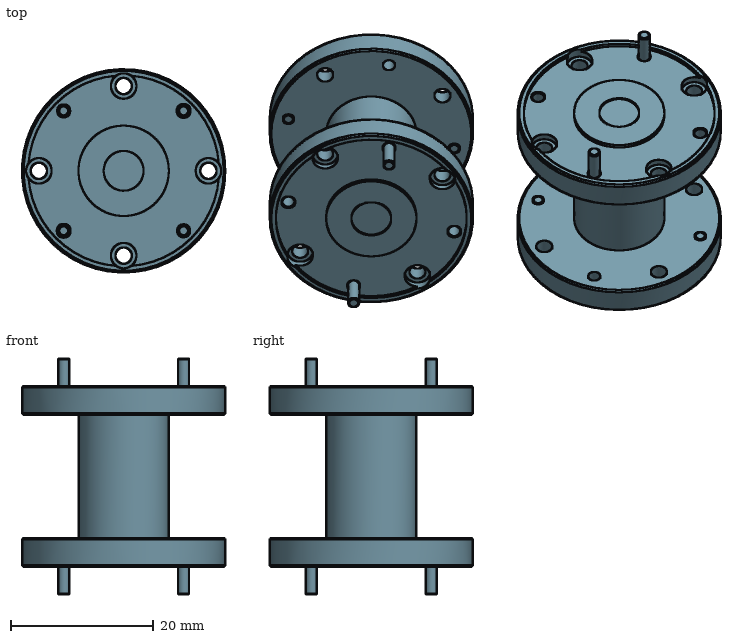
import cadquery as cq
import math

spool_length = 25.4
flange_diameter = 28.57
flange_thickness = 4.0625
flange_chamfer = 0.25
tube_diameter = 12.7

face_recess_inner_diameter = tube_diameter
face_recess_outer_diameter = 26.8
face_recess_depth = 0.5
centre_recess_diameter = 5.6
centre_recess_depth = 0.2

pitch_diameter = 23.81
bolt_hole_diameter = 2.26
counterbore_diameter = 3.58
counterbore_depth = 1.5
pin_diameter = 1.58
socket_diameter = 1.7
hole_chamfer = 0.13

pin_length = 7.9375
pin_chamfer = 0.15

pitch_radius = pitch_diameter / 2
face_z = spool_length / 2
flange_back_z = face_z - flange_thickness
recess_floor_z = face_z - face_recess_depth


def pitch_point(angle):
    """Point on the pitch circle at an angle in degrees from +X."""
    radians = math.radians(angle)
    return (pitch_radius * math.cos(radians), pitch_radius * math.sin(radians))


bolt_points = [pitch_point(angle) for angle in (0, 90, 180, 270)]
pin_points = [pitch_point(angle) for angle in (135, 315)]
socket_points = [pitch_point(angle) for angle in (45, 225)]


def turn_over(body):
    """Half turn about X, which carries the upper end onto the lower end."""
    return body.rotate((0, 0, 0), (1, 0, 0), 180)


def disc(diameter, bottom_z, height, points=((0, 0),)):
    """Upright cylinders standing on bottom_z at the given points."""
    base = cq.Workplane("XY", origin=(0, 0, bottom_z))
    return base.pushPoints(points).circle(diameter / 2).extrude(height)


def chamfered_holes(diameter, points):
    """Cutters through the flange that flare where they meet the recess floor."""
    holes = disc(diameter, flange_back_z, flange_thickness, points)
    for x, y in points:
        flare = cq.Solid.makeCone(
            diameter / 2,
            diameter / 2 + hole_chamfer,
            hole_chamfer,
            pnt=cq.Vector(x, y, recess_floor_z - hole_chamfer),
        )
        holes = holes.union(cq.Workplane(flare))
    return holes


def make_flange():
    """Upper flange, with its mating face up."""
    blank = disc(flange_diameter, flange_back_z, flange_thickness)
    flange = blank.faces("<Z or >Z").edges().chamfer(flange_chamfer)
    face_recess = disc(face_recess_outer_diameter, recess_floor_z, face_recess_depth).cut(
        disc(face_recess_inner_diameter, recess_floor_z, face_recess_depth)
    )
    flange = flange.cut(face_recess)
    flange = flange.cut(disc(centre_recess_diameter, face_z - centre_recess_depth, centre_recess_depth))
    flange = flange.cut(disc(bolt_hole_diameter, flange_back_z, flange_thickness, bolt_points))
    flange = flange.cut(disc(counterbore_diameter, face_z - counterbore_depth, counterbore_depth, bolt_points))
    flange = flange.cut(chamfered_holes(socket_diameter, socket_points))
    return flange.cut(chamfered_holes(pin_diameter, pin_points))


def make_spool():
    """Both flanges and the tube between them, as one solid."""
    flange = make_flange()
    tube = disc(tube_diameter, -flange_back_z, 2 * flange_back_z)
    return tube.union(flange).union(turn_over(flange))


def make_pin(point):
    """Dowel pin of the upper flange, chamfered at both ends."""
    rod = disc(pin_diameter, flange_back_z, pin_length, [point])
    return rod.faces("<Z or >Z").edges().chamfer(pin_chamfer)


spool = make_spool()

pins = []
for point in pin_points:
    pin = make_pin(point)
    pins.append(pin.val())
    pins.append(turn_over(pin).val())

result = cq.Compound.makeCompound([spool.val(), *pins])